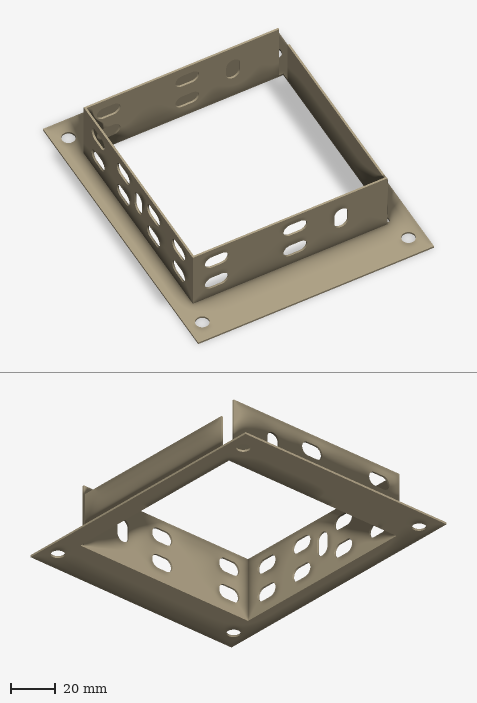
import cadquery as cq

sheet = 1.0
plate_length = 145.0
plate_width = 120.0
total_height = 32.0

opening = 100.0
inner_face = opening / 2
outer_face = inner_face + sheet
side_wall_end = 48.0
flap_length = 92.0
flap_top = 24.5

hole_diameter = 6.5
hole_spacing_x = 125.0
hole_spacing_y = 105.0

slot_length = 12.0
slot_width = 7.0
front_row_heights = (9.5, 23.9)
side_row_heights = (10.0, 23.8)
upright_slot_z = 18.0
front_slot_offsets = (14.0, 37.5)
side_slot_positions = (-38.9, 1.2)
side_upright_slot_y = 24.5


def wall(x_min, x_max, y_min, y_max, top):
    """Upright sheet wall rising from the underside of the plate."""
    size = (x_max - x_min, y_max - y_min, top)
    return cq.Workplane("XY").box(*size, centered=False).translate((x_min, y_min, 0))


def slot_cutters(plane, centers, angle, reach):
    """Round-ended slots cut equally to both sides of a plane through the origin."""
    sketch = cq.Workplane(plane).pushPoints(centers)
    return sketch.slot2D(slot_length, slot_width, angle).extrude(reach, both=True)


plate = (
    cq.Workplane("XY")
    .rect(plate_length, plate_width)
    .rect(opening, opening)
    .extrude(sheet)
    .faces(">Z")
    .workplane(origin=(0, 0, sheet))
    .rect(hole_spacing_x, hole_spacing_y, forConstruction=True)
    .vertices()
    .hole(hole_diameter)
)

front_centers = [(side * x, z) for x in front_slot_offsets for side in (-1, 1) for z in front_row_heights]
front_wall = (
    wall(-outer_face, outer_face, -outer_face, -inner_face, total_height)
    .cut(slot_cutters("XZ", front_centers, 0, plate_width))
    .cut(slot_cutters("XZ", [(0, upright_slot_z)], 90, plate_width))
)

side_centers = [(y, z) for y in side_slot_positions for z in side_row_heights]
left_wall = (
    wall(-outer_face, -inner_face, -outer_face, side_wall_end, total_height)
    .cut(slot_cutters("YZ", side_centers, 0, plate_length))
    .cut(slot_cutters("YZ", [(side_upright_slot_y, upright_slot_z)], 90, plate_length))
)
right_wall = left_wall.mirror("YZ")

rear_flap = wall(-flap_length / 2, flap_length / 2, inner_face, outer_face, flap_top)

result = plate.union(front_wall).union(left_wall).union(right_wall).union(rear_flap)